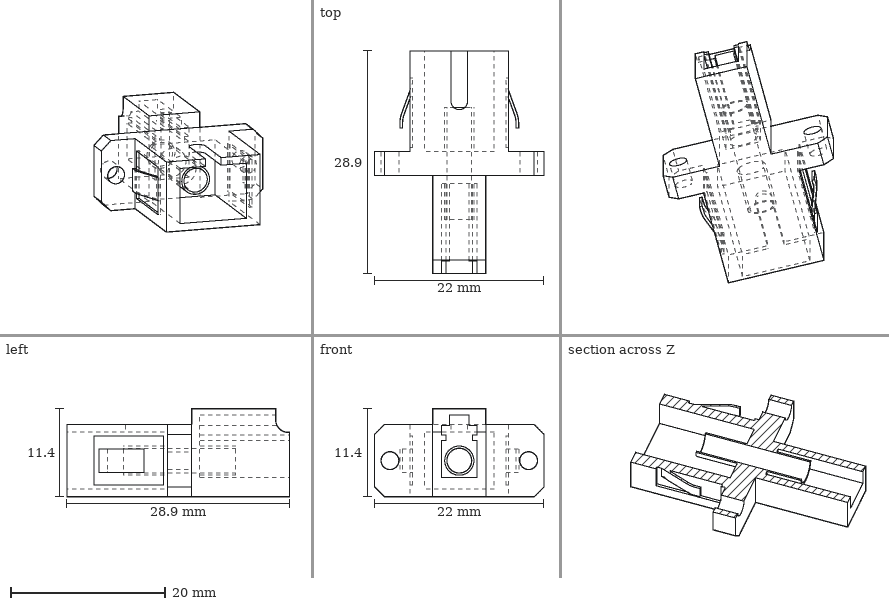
import cadquery as cq
import math

wall_thickness = 1.0

total_length = 28.88
block_length = 12.7
flange_thickness = 3.15
flange_back = block_length + flange_thickness
housing_length = total_length - flange_back

flange_width = 22.0
body_height = 9.4
mid_height = body_height / 2
corner_chamfer = 1.3
mount_hole_diameter = 2.28
mount_hole_spacing = 17.95

block_width = 6.9
block_height = 11.45
notch_depth = 1.8
notch_radius = 1.55
notch_floor = 8.38

socket_depth = block_length - wall_thickness
socket_width = 4.62
socket_floor = 2.55
socket_ceiling = 9.25
latch_slot_width = 2.55
latch_slot_top = 10.63
rail_gap = 3.4
rail_bottom = 7.3
rail_top = 8.03

housing_width = 12.8
plug_cavity_width = 9.0
plug_cavity_height = body_height - 2 * wall_thickness
key_slot_width = 2.15
key_slot_length = 7.62

sleeve_outer_diameter = 3.78
sleeve_bore_diameter = 3.18
sleeve_overhang = 5.65

recess_front = 16.37
recess_length = 9.0
recess_height = 6.35
recess_depth = 0.35
clip_height = 3.03
clip_thickness = 0.38
clip_outer_x = 7.7
clip_tip_y = 18.85
clip_bend_y = 19.55
clip_bend_radius = 3.38
clip_angle = 20.0
clip_embed = 0.43


def box(width, y_start, length, z_start, height):
    """Box centred on X, placed by its front face and its underside."""
    return (
        cq.Workplane("XY", origin=(0, y_start, z_start))
        .box(width, length, height, centered=(True, False, False))
    )


def rod(diameter, y_start, length, x=0.0):
    """Cylinder along Y at mid height."""
    return (
        cq.Workplane("XZ", origin=(x, y_start, mid_height))
        .circle(diameter / 2)
        .extrude(-length)
    )


def make_flange():
    flange = box(flange_width, block_length, flange_thickness, 0, body_height)
    flange = flange.edges("|Y").chamfer(corner_chamfer)
    for side in (-1, 1):
        hole_x = side * mount_hole_spacing / 2
        flange = flange.cut(rod(mount_hole_diameter, block_length, flange_thickness, hole_x))
    return flange


def make_narrow_block():
    block = box(block_width, 0, block_length, 0, block_height)

    notch = box(block_width, 0, notch_depth, notch_floor, block_height - notch_floor)
    notch = notch.edges("|X and >Y and <Z").fillet(notch_radius)

    socket = box(socket_width, 0, socket_depth, socket_floor, socket_ceiling - socket_floor)
    latch_slot = box(latch_slot_width, 0, socket_depth, socket_ceiling, latch_slot_top - socket_ceiling)

    rail_height = rail_top - rail_bottom
    rails = box(socket_width, 0, socket_depth, rail_bottom, rail_height)
    rails = rails.cut(box(rail_gap, 0, socket_depth, rail_bottom, rail_height))

    return block.cut(notch).cut(socket.cut(rails)).cut(latch_slot)


def make_housing():
    housing = box(housing_width, flange_back, housing_length, 0, body_height)
    cavity = box(plug_cavity_width, flange_back, housing_length, wall_thickness, plug_cavity_height)
    housing = housing.cut(cavity)

    slot_radius = key_slot_width / 2
    slot_centre_y = total_length - key_slot_length + slot_radius
    slot_bottom = body_height - wall_thickness
    key_slot = box(key_slot_width, slot_centre_y, total_length - slot_centre_y, slot_bottom, wall_thickness)
    slot_end = (
        cq.Workplane("XY", origin=(0, slot_centre_y, slot_bottom))
        .circle(slot_radius)
        .extrude(wall_thickness)
    )
    housing = housing.cut(key_slot).cut(slot_end)

    recess_bottom = mid_height - recess_height / 2
    recess_core_width = housing_width - 2 * recess_depth
    recesses = box(housing_width, recess_front, recess_length, recess_bottom, recess_height)
    recesses = recesses.cut(
        box(recess_core_width, recess_front, recess_length, recess_bottom, recess_height)
    )
    return housing.cut(recesses)


def make_clip():
    """Spring clip on the +X side: a leg sloping out of the recess, a bend and a straight tip."""
    slope = math.radians(clip_angle)
    centre_x = clip_outer_x - clip_bend_radius
    inner_radius = clip_bend_radius - clip_thickness
    root_x = housing_width / 2 - recess_depth - clip_embed

    def bend_point(radius, angle):
        return (centre_x + radius * math.cos(angle), clip_bend_y + radius * math.sin(angle))

    def root_point(radius):
        bend_x, bend_y = bend_point(radius, slope)
        return (root_x, bend_y + (bend_x - root_x) / math.tan(slope))

    return (
        cq.Workplane("XY", origin=(0, 0, mid_height - clip_height / 2))
        .moveTo(clip_outer_x, clip_tip_y)
        .lineTo(*bend_point(clip_bend_radius, 0))
        .threePointArc(bend_point(clip_bend_radius, slope / 2), bend_point(clip_bend_radius, slope))
        .lineTo(*root_point(clip_bend_radius))
        .lineTo(*root_point(inner_radius))
        .lineTo(*bend_point(inner_radius, slope))
        .threePointArc(bend_point(inner_radius, slope / 2), bend_point(inner_radius, 0))
        .lineTo(clip_outer_x - clip_thickness, clip_tip_y)
        .close()
        .extrude(clip_height)
    )


sleeve_front = block_length - sleeve_overhang
sleeve_length = flange_thickness + 2 * sleeve_overhang
clip = make_clip()

result = (
    make_flange()
    .union(make_narrow_block())
    .union(make_housing())
    .union(clip)
    .union(clip.mirror("YZ"))
    .union(rod(sleeve_outer_diameter, sleeve_front, sleeve_length))
    .cut(rod(sleeve_bore_diameter, sleeve_front, sleeve_length))
)